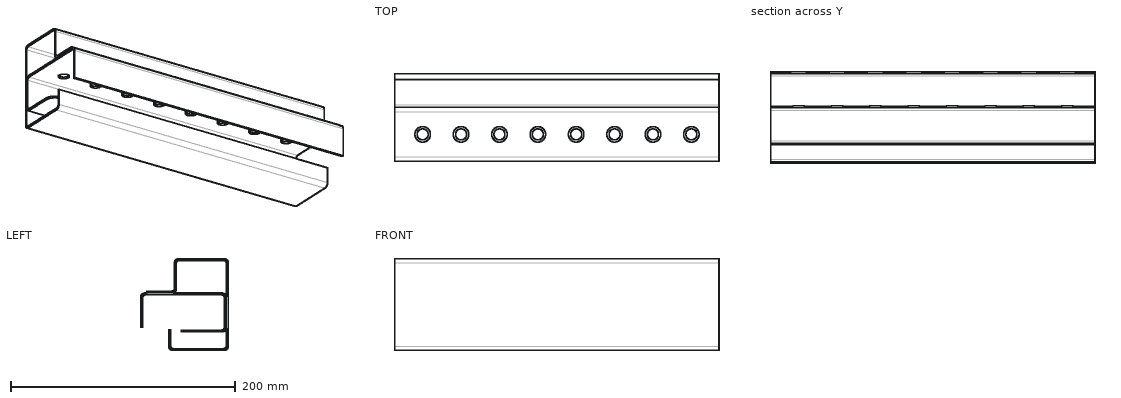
import cadquery as cq
import math

LENGTH = 289.5
DEPTH = 78.0

THICKNESS = 1.77
INNER_BEND = 2.2
OUTER_BEND = INNER_BEND + THICKNESS

SHELF_BOTTOM = 16.5
CHANNEL_GAP = 31.3
BOX_GAP = 29.0
CHANNEL_TOP = SHELF_BOTTOM + CHANNEL_GAP + 2 * THICKNESS
HEIGHT = CHANNEL_TOP + BOX_GAP + THICKNESS

BOX_DEPTH = 48.0
LEDGE_END = 72.5
LIP_FACE = 53.2
LIP_TOP = 18.5

APRON_BOTTOM = 20.5
SHELF_END = 42.0
SHELF_CORNER = 10.0

HOLE_COUNT = 8
HOUSING_HOLE = 14.0
CHANNEL_HOLE = 9.8
END_MARGIN = 25.0
HOLE_PITCH = (LENGTH - 2 * END_MARGIN) / (HOLE_COUNT - 1)
HOLE_Y = BOX_DEPTH / 2


def side_point(face, index):
    """Point opposite a face point on the sheet's other face, to the left of the direction of travel."""
    y, z = face[index]
    neighbours = face[max(index - 1, 0):index + 2]
    for (y0, z0), (y1, z1) in zip(neighbours, neighbours[1:]):
        leg = math.dist((y0, z0), (y1, z1))
        y -= THICKNESS * (z1 - z0) / leg
        z += THICKNESS * (y1 - y0) / leg
    return y, z


def bend_radius(before, corner, after):
    """Outer radius at a left turn of the counterclockwise outline, inner radius at a right turn."""
    y_in, z_in = corner[0] - before[0], corner[1] - before[1]
    y_out, z_out = after[0] - corner[0], after[1] - corner[1]
    turns_left = y_in * z_out - z_in * y_out > 0
    return OUTER_BEND if turns_left else INNER_BEND


def toward(start, end, distance):
    """Point at a distance from start on the way to end."""
    share = distance / math.dist(start, end)
    return start[0] + share * (end[0] - start[0]), start[1] + share * (end[1] - start[1])


def draw_bends(sketch, face):
    """Draw one face of the sheet from its first point to its last, with a quarter arc at each bend."""
    for before, corner, after in zip(face, face[1:], face[2:]):
        radius = bend_radius(before, corner, after)
        arc_start = toward(corner, before, radius)
        arc_end = toward(corner, after, radius)
        centre = (arc_start[0] + arc_end[0] - corner[0], arc_start[1] + arc_end[1] - corner[1])
        arc_middle = toward(centre, corner, radius)
        sketch = sketch.lineTo(*arc_start).threePointArc(arc_middle, arc_end)
    return sketch.lineTo(*face[-1])


def folded_sheet(face):
    """Sheet with square bends, extruded along X; the material lies to the left of the (Y, Z) face points."""
    other_face = [side_point(face, i) for i in reversed(range(len(face)))]
    sketch = draw_bends(cq.Workplane("YZ").moveTo(*face[0]), face)
    sketch = draw_bends(sketch.lineTo(*other_face[0]), other_face)
    return sketch.close().extrude(LENGTH)


def hole_row(diameter, bottom, top):
    """Row of vertical cylinders that cuts every sheet between two heights."""
    centres = [(END_MARGIN + i * HOLE_PITCH, HOLE_Y) for i in range(HOLE_COUNT)]
    plane = cq.Workplane("XY", origin=(0, 0, bottom))
    return plane.pushPoints(centres).circle(diameter / 2).extrude(top - bottom)


def make_housing():
    """Ledge, upper box, front wall, floor and lip, with holes in the top of the box."""
    ledge_top = CHANNEL_TOP + THICKNESS
    sheet = folded_sheet([
        (LEDGE_END, ledge_top),
        (BOX_DEPTH, ledge_top),
        (BOX_DEPTH, HEIGHT),
        (0, HEIGHT),
        (0, 0),
        (LIP_FACE, 0),
        (LIP_FACE, LIP_TOP),
    ])
    return sheet.cut(hole_row(HOUSING_HOLE, CHANNEL_TOP, HEIGHT))


def make_channel():
    """Rear apron, web under the ledge, back on the front wall, and shelf; holes in web and shelf."""
    sheet = folded_sheet([
        (DEPTH, APRON_BOTTOM),
        (DEPTH, CHANNEL_TOP),
        (THICKNESS, CHANNEL_TOP),
        (THICKNESS, SHELF_BOTTOM),
        (SHELF_END, SHELF_BOTTOM),
    ])
    shelf_middle = SHELF_BOTTOM + THICKNESS / 2
    shelf_corners = cq.selectors.BoxSelector(
        (-THICKNESS, SHELF_END - THICKNESS, shelf_middle - THICKNESS),
        (LENGTH + THICKNESS, SHELF_END + THICKNESS, shelf_middle + THICKNESS),
    )
    sheet = sheet.edges("|Z").edges(shelf_corners).fillet(SHELF_CORNER)
    return sheet.cut(hole_row(CHANNEL_HOLE, SHELF_BOTTOM, CHANNEL_TOP))


housing = make_housing()
channel = make_channel()

result = cq.Compound.makeCompound([housing.val(), channel.val()])